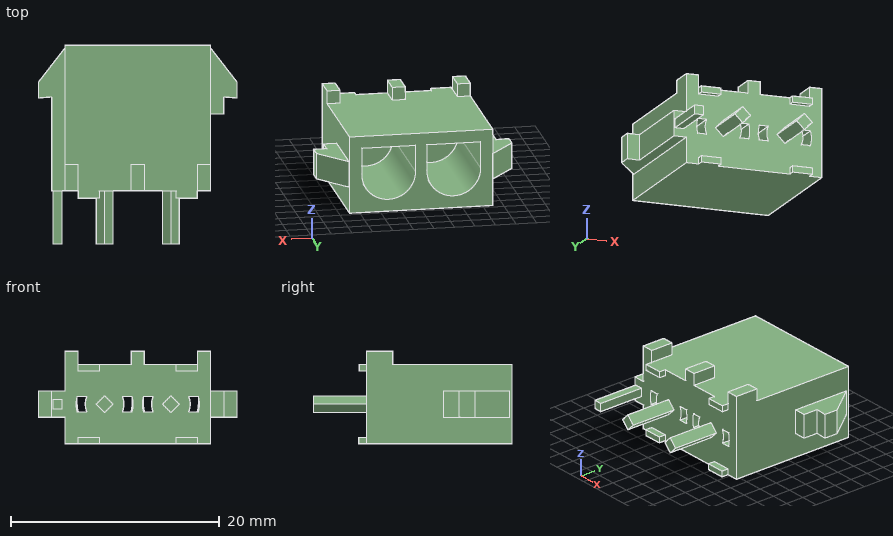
import cadquery as cq
import math

GRID = 1.27

BODY_WIDTH = 11 * GRID
BODY_DEPTH = 11 * GRID
BODY_HEIGHT = 6 * GRID
HALF_WIDTH = BODY_WIDTH / 2
MID_HEIGHT = BODY_HEIGHT / 2

TAB_WIDTH = GRID
TAB_HEIGHT = GRID
TAB_DEPTH = 2 * GRID
FOOT_WIDTH = 2.03
FOOT_HEIGHT = GRID / 2
LOWER_FOOT_LENGTH = 0.74
UPPER_FOOT_LENGTH = 0.69

RAIL_WIDTH = GRID
RAIL_HEIGHT = 2 * GRID
SHORT_RAIL_LENGTH = 6.60
LATCH_REACH = 2 * GRID
RAMP_START = 0.28
RAMP_END = 3.556
HOOK_TIP = 4 * GRID
HOOK_UNDERCUT = 0.1
HOOK_ROOT = HOOK_TIP - HOOK_UNDERCUT

CONTACT_PITCH = 5 * GRID
CONTACT_XS = (-CONTACT_PITCH / 2, CONTACT_PITCH / 2)
PIN_LENGTH = 4 * GRID
CONTACT_SIDE = 1.143
CONTACT_TURN = 45
SIDE_PIN_SIDE = 0.889
SIDE_PIN_OFFSET = 0.70
WINDOW_INNER_RADIUS = 1.86
WINDOW_OUTER_RADIUS = 2.73
WINDOW_HEIGHT = 1.47
CAVITY_RADIUS = 2.62
END_WALL = 2 * GRID


def block(x_min, y_min, z_min, width, depth, height):
    """Box given by its lowest corner and its sizes."""
    return cq.Workplane("XY").box(width, depth, height, centered=False).translate((x_min, y_min, z_min))


def section(y):
    """Sketch plane at depth y, seen from -Y: local x is X, local y is Z, extrusion runs to -Y."""
    return cq.Workplane("XZ", origin=(0, y, 0))


def top_tabs():
    tabs = cq.Workplane("XY")
    for x in (-HALF_WIDTH, -TAB_WIDTH / 2, HALF_WIDTH - TAB_WIDTH):
        tabs = tabs.add(block(x, 0, 0, TAB_WIDTH, TAB_DEPTH, BODY_HEIGHT + TAB_HEIGHT))
    return tabs


def feet():
    pads = cq.Workplane("XY")
    for x in (-HALF_WIDTH + TAB_WIDTH, HALF_WIDTH - TAB_WIDTH - FOOT_WIDTH):
        for z, length in ((0, LOWER_FOOT_LENGTH), (BODY_HEIGHT - FOOT_HEIGHT, UPPER_FOOT_LENGTH)):
            pads = pads.add(block(x, -length, z, FOOT_WIDTH, length, FOOT_HEIGHT))
    return pads


def latch_rail(side, rail_length):
    """Rail and latch wedge on the side face at side * HALF_WIDTH, measured from the mating face."""
    outline = [
        (0, RAMP_START),
        (LATCH_REACH, RAMP_END),
        (LATCH_REACH, HOOK_TIP),
        (RAIL_WIDTH, HOOK_ROOT),
        (RAIL_WIDTH, rail_length),
        (0, rail_length),
    ]
    points = [(side * (HALF_WIDTH + out), BODY_DEPTH - back) for out, back in outline]
    rail_bottom = MID_HEIGHT - RAIL_HEIGHT / 2
    return cq.Workplane("XY").workplane(offset=rail_bottom).polyline(points).close().extrude(RAIL_HEIGHT)


def square_pin(x, side, angle):
    """Square pin out of the pin-side face, turned about its axis, rooted half an end wall deep."""
    root = END_WALL / 2
    pin = section(root).rect(side, side).extrude(root + PIN_LENGTH)
    return pin.rotate((0, 0, 0), (0, 1, 0), angle).translate((x, 0, MID_HEIGHT))


def cavity(x):
    """Mating cavity: half round below the contact axis, square above it."""
    return (
        section(BODY_DEPTH)
        .moveTo(x - CAVITY_RADIUS, MID_HEIGHT)
        .threePointArc((x, MID_HEIGHT - CAVITY_RADIUS), (x + CAVITY_RADIUS, MID_HEIGHT))
        .lineTo(x + CAVITY_RADIUS, MID_HEIGHT + CAVITY_RADIUS)
        .lineTo(x - CAVITY_RADIUS, MID_HEIGHT + CAVITY_RADIUS)
        .close()
        .extrude(BODY_DEPTH - END_WALL)
    )


def window(x, side):
    """Opening through the end wall between two arcs about the contact axis, flat above and below."""
    half = WINDOW_HEIGHT / 2
    inner_x = x + side * math.sqrt(WINDOW_INNER_RADIUS**2 - half**2)
    outer_x = x + side * math.sqrt(WINDOW_OUTER_RADIUS**2 - half**2)
    return (
        section(END_WALL)
        .moveTo(inner_x, MID_HEIGHT - half)
        .lineTo(outer_x, MID_HEIGHT - half)
        .threePointArc((x + side * WINDOW_OUTER_RADIUS, MID_HEIGHT), (outer_x, MID_HEIGHT + half))
        .lineTo(inner_x, MID_HEIGHT + half)
        .threePointArc((x + side * WINDOW_INNER_RADIUS, MID_HEIGHT), (inner_x, MID_HEIGHT - half))
        .close()
        .extrude(END_WALL)
    )


housing = block(-HALF_WIDTH, 0, 0, BODY_WIDTH, BODY_DEPTH, BODY_HEIGHT)
housing = housing.union(top_tabs()).union(feet())
housing = housing.union(latch_rail(-1, BODY_DEPTH))
housing = housing.union(latch_rail(1, SHORT_RAIL_LENGTH))

for contact_x in CONTACT_XS:
    housing = housing.cut(cavity(contact_x))
    for window_side in (-1, 1):
        housing = housing.cut(window(contact_x, window_side))

for contact_x in CONTACT_XS:
    housing = housing.union(square_pin(contact_x, CONTACT_SIDE, CONTACT_TURN))
result = housing.union(square_pin(-HALF_WIDTH - SIDE_PIN_OFFSET, SIDE_PIN_SIDE, 0))